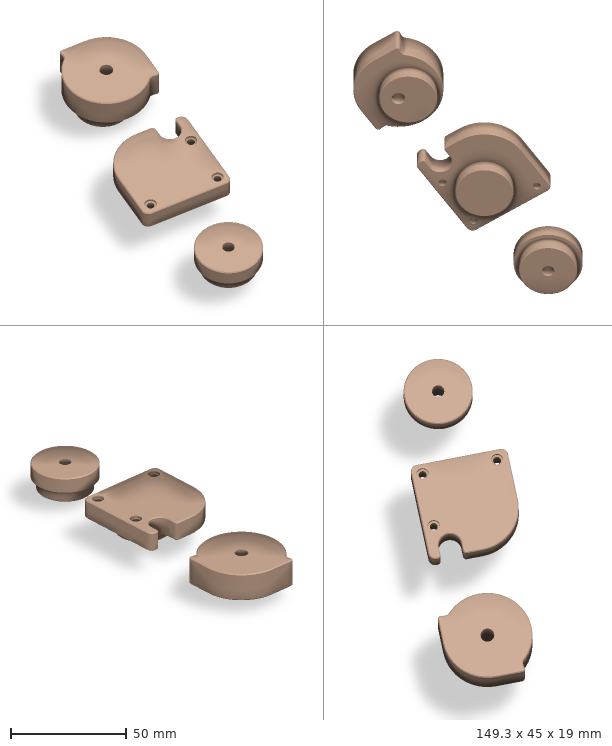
import cadquery as cq
import math

overall_x = 149.3
overall_y = 45.0
boss_diameter = 25.2
boss_height = 6.0
edge_chamfer = 0.5

cam_radius = 19.5
cam_thickness = 13.0
cam_top_z = boss_height + cam_thickness
cam_bore_diameter = 6.0
cam_boss_x = 2.8
cam_boss_y = -3.3
horn_tip_radius = 1.42
hollow_radius = 10.3 / 2
hollow_x = -16.3
hollow_y = -17.8

plate_left = 38.8
plate_width = 44.0
plate_length = 43.0
plate_front = cam_radius - overall_y
plate_thickness = 9.0
plate_large_radius = cam_radius
plate_corner_radius = 3.0
plate_top_z = cam_top_z
plate_boss_x = plate_left + 26.1

slot_width = 10.0
slot_depth = 10.2
slot_mouth_radius = 1.42
slot_axis_drop = 10.0

screw_hole_diameter = 3.5
screw_head_diameter = 5.4
screw_head_depth = 1.0
screw_side_margin = 4.8
screw_front_margin = 5.2
screw_spacing = 24.3

roller_diameter = 30.0
roller_thickness = 7.0
roller_bore_diameter = 5.4
roller_x = overall_x - cam_radius - roller_diameter / 2
roller_y = -1.5

plate_right = plate_left + plate_width
plate_back = plate_front + plate_length
plate_bottom_z = plate_top_z - plate_thickness
lower_boss_z = plate_bottom_z - boss_height


def make_boss(x, y, bottom_z):
    """Round boss with a chamfered lower rim."""
    boss = cq.Workplane("XY", origin=(x, y, bottom_z)).circle(boss_diameter / 2).extrude(boss_height)
    return boss.faces("<Z").chamfer(edge_chamfer)


def mirror_point(point):
    """Mirror a point across the cam's line of symmetry, y = -x."""
    return (-point[1], -point[0])


def point_at(center, radius, angle):
    """Point on a circle, with the angle in radians from the X axis."""
    return (center[0] + radius * math.cos(angle), center[1] + radius * math.sin(angle))


def make_cam_outline(bottom_z):
    """Drum outline with a horn at the end of each of the two tangent flats."""
    axis = (0, 0)
    hollow = (hollow_x, hollow_y)
    tip_x = horn_tip_radius - cam_radius
    tip_y = hollow_y + math.sqrt((hollow_radius + horn_tip_radius) ** 2 - (tip_x - hollow_x) ** 2)
    tip = (tip_x, tip_y)
    tip_end_angle = math.atan2(hollow_y - tip_y, hollow_x - tip_x)
    tip_start = (-cam_radius, tip_y)
    tip_middle = point_at(tip, horn_tip_radius, (tip_end_angle - math.pi) / 2)
    tip_end = point_at(tip, horn_tip_radius, tip_end_angle)

    hollow_distance = math.hypot(hollow_x, hollow_y)
    foot_offset = math.acos(
        (cam_radius**2 + hollow_distance**2 - hollow_radius**2) / (2 * cam_radius * hollow_distance)
    )
    foot = point_at(axis, cam_radius, math.atan2(hollow_y, hollow_x) - foot_offset)
    hollow_start_angle = tip_end_angle + math.pi
    hollow_end_angle = math.atan2(foot[1] - hollow_y, foot[0] - hollow_x)
    hollow_middle = point_at(hollow, hollow_radius, (hollow_start_angle + hollow_end_angle) / 2)

    return (
        cq.Workplane("XY", origin=(0, 0, bottom_z))
        .moveTo(*mirror_point(tip_start))
        .lineTo(0, cam_radius)
        .threePointArc(point_at(axis, cam_radius, math.radians(135)), (-cam_radius, 0))
        .lineTo(*tip_start)
        .threePointArc(tip_middle, tip_end)
        .threePointArc(hollow_middle, foot)
        .threePointArc(point_at(axis, cam_radius, math.radians(-45)), mirror_point(foot))
        .threePointArc(mirror_point(hollow_middle), mirror_point(tip_end))
        .threePointArc(mirror_point(tip_middle), mirror_point(tip_start))
        .close()
    )


def make_cam():
    rim_top_z = cam_top_z - edge_chamfer
    rim_bottom_z = boss_height + edge_chamfer
    drum = make_cam_outline(rim_bottom_z).extrude(rim_top_z - rim_bottom_z)
    top_rim = make_cam_outline(rim_top_z).extrude(edge_chamfer, taper=45)
    bottom_rim = make_cam_outline(rim_bottom_z).extrude(-edge_chamfer, taper=45)
    drum = drum.union(top_rim).union(bottom_rim)
    boss = make_boss(cam_boss_x, cam_boss_y, 0)
    bore = cq.Workplane("XY").circle(cam_bore_diameter / 2).extrude(cam_top_z)
    return drum.union(boss).cut(bore)


def make_plate_blank():
    """Plate with its slot, rounded corners and chamfered rims."""
    blank = cq.Workplane("XY", origin=(plate_left, plate_front, plate_bottom_z)).box(
        plate_width, plate_length, plate_thickness, centered=False
    )
    slot_y = plate_back - slot_axis_drop
    slot = (
        cq.Workplane("XY", origin=(plate_left, slot_y, plate_bottom_z))
        .slot2D(2 * slot_depth, slot_width)
        .extrude(plate_thickness)
    )
    blank = blank.edges("|Z and <X and <Y").fillet(plate_large_radius)
    blank = blank.edges("(|Z and >Y) or (|Z and >X)").fillet(plate_corner_radius)
    blank = blank.cut(slot)
    for side in (-1, 1):
        mouth_corner = (plate_left, slot_y + side * slot_width / 2, plate_bottom_z + plate_thickness / 2)
        blank = blank.edges(cq.NearestToPointSelector(mouth_corner)).fillet(slot_mouth_radius)
    return blank.faces("<Z or >Z").chamfer(edge_chamfer)


def make_plate():
    screw_x = plate_right - screw_side_margin
    screw_back_y = plate_back - screw_side_margin
    screw_points = [
        (screw_x - screw_spacing, screw_back_y),
        (screw_x, screw_back_y),
        (screw_x, plate_front + screw_front_margin),
    ]
    plate = make_plate_blank().union(make_boss(plate_boss_x, roller_y, lower_boss_z))
    return (
        plate.faces(">Z").workplane(origin=(0, 0, plate_top_z))
        .pushPoints(screw_points)
        .cboreHole(screw_hole_diameter, screw_head_diameter, screw_head_depth)
    )


def make_roller():
    disc = (
        cq.Workplane("XY", origin=(roller_x, roller_y, plate_bottom_z))
        .circle(roller_diameter / 2)
        .extrude(roller_thickness)
        .faces(">Z")
        .chamfer(edge_chamfer)
    )
    roller = disc.union(make_boss(roller_x, roller_y, lower_boss_z))
    return roller.faces(">Z").workplane(origin=(roller_x, roller_y, 0)).hole(roller_bore_diameter)


cam = make_cam()
plate = make_plate()
roller = make_roller()

result = cq.Compound.makeCompound([cam.solids().val(), plate.solids().val(), roller.solids().val()])